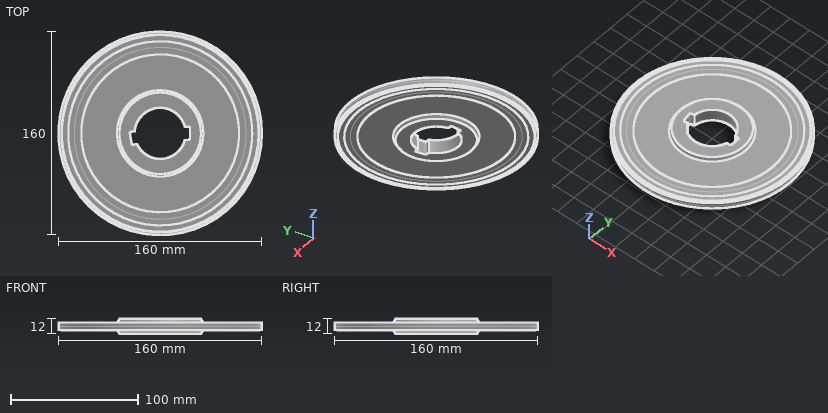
import cadquery as cq

outer_radius = 80.0
total_height = 12.0
hub_half_height = total_height / 2

hub_base_radius = 33.9
hub_face_radius = 32.0
web_radius = 124.0 / 2
web_half_height = 2.9
band_radius = 67.5
band_half_height = 3.0

bore_radius = 20.0
keyway_reach = 23.3
keyway_width = 10.0
keyway_corner_radius = 1.0
keyway_angles = (0, 190)

rim_inner_radius = 72.3
crest_radius = 77.2
crest_half_height = 3.2
lip_inner_radius = 77.7
lip_half_height = 3.0
edge_taper = 0.2

face_slope = (crest_half_height - band_half_height) / (crest_radius - band_radius)
joint_half_height = band_half_height + face_slope * (rim_inner_radius - band_radius)


def revolve_half_section(upper_points):
    """Revolve a section about Z, mirroring its upper points to the lower side."""
    lower_points = [(radius, -height) for radius, height in reversed(upper_points) if height > 0]
    return cq.Workplane("XZ").polyline(upper_points + lower_points).close().revolve(360, (0, 0), (0, 1))


def make_keyway_cutter(angle):
    return (
        cq.Workplane("XY")
        .box(keyway_reach, keyway_width, total_height, centered=(False, True, True))
        .edges("|Z and >X")
        .fillet(keyway_corner_radius)
        .rotate((0, 0, 0), (0, 0, 1), angle)
    )


def make_core():
    core = revolve_half_section([
        (bore_radius, hub_half_height),
        (hub_face_radius, hub_half_height),
        (hub_base_radius, web_half_height),
        (web_radius, web_half_height),
        (web_radius, band_half_height),
        (band_radius, band_half_height),
        (rim_inner_radius, joint_half_height),
    ])
    for angle in keyway_angles:
        core = core.cut(make_keyway_cutter(angle))
    return core


def make_rim():
    return revolve_half_section([
        (rim_inner_radius, joint_half_height),
        (crest_radius, crest_half_height),
        (lip_inner_radius, lip_half_height),
        (outer_radius - edge_taper, lip_half_height),
        (outer_radius, 0),
    ])


core = make_core()
rim = make_rim()
result = cq.Compound.makeCompound([core.val(), rim.val()])